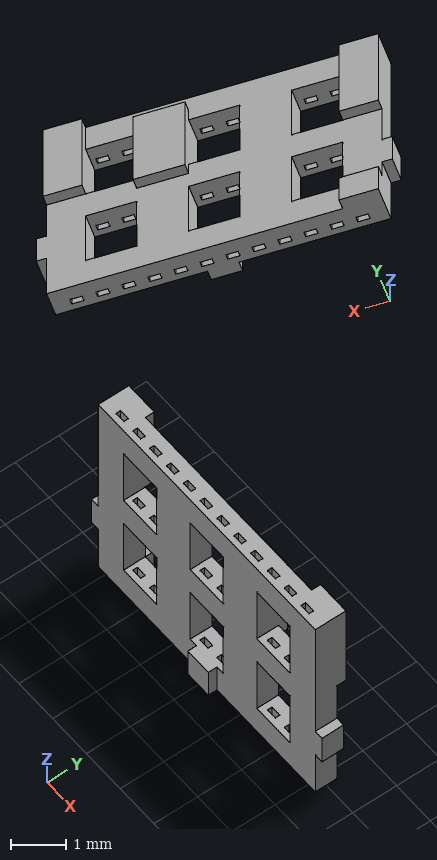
import cadquery as cq

overall_width = 6.83
side_tab_reach = 0.2
body_width = overall_width - 2 * side_tab_reach
body_height = 4.9
plate_thickness = 0.5

window_columns = 3
window_rows = 2
window_width = 0.98
column_gap = 1.0
rail_height = 0.7
window_height = (body_height - (window_rows + 1) * rail_height) / window_rows
column_pitch = window_width + column_gap
row_pitch = window_height + rail_height
outer_window_edge = column_pitch + window_width / 2

slot_count = 12
slot_pitch = 0.5
slot_width = 0.23
slot_depth = 0.1
slot_center_y = 0.185

pad_reach = 0.205
corner_pad_width = body_width / 2 - outer_window_edge
upper_pad_height = rail_height + window_height
label_pad_width = column_gap
label_pad_overhang = 0.29
label_pad_height = window_height + 2 * label_pad_overhang

side_tab_bottom = 1.12
side_tab_height = 0.71
front_tab_width = 0.61
front_tab_reach = 0.2


def block(width, depth, height, center_x, front_y, bottom_z):
    """Box centred in X, with its front face at front_y and its base at bottom_z."""
    return (
        cq.Workplane("XY")
        .box(width, depth, height, centered=(True, False, False))
        .translate((center_x, front_y, bottom_z))
    )


plate = block(body_width, plate_thickness, body_height, 0, 0, 0)
side_tabs = block(overall_width, plate_thickness, side_tab_height, 0, 0, side_tab_bottom)
body = plate.union(side_tabs)

pad_depth = plate_thickness + pad_reach
corner_pad_x = (body_width - corner_pad_width) / 2
upper_pad_bottom = body_height - upper_pad_height
for side in (-1, 1):
    body = body.union(
        block(corner_pad_width, pad_depth, upper_pad_height, side * corner_pad_x, 0, upper_pad_bottom)
    )
body = body.union(block(corner_pad_width, pad_depth, rail_height, -corner_pad_x, 0, 0))

upper_row_bottom = rail_height + row_pitch
label_pad_bottom = upper_row_bottom - label_pad_overhang
body = body.union(
    block(label_pad_width, pad_depth, label_pad_height, column_pitch / 2, 0, label_pad_bottom)
)

body = body.union(block(front_tab_width, front_tab_reach, rail_height, 0, -front_tab_reach, 0))

for column in range(window_columns):
    window_x = (column - (window_columns - 1) / 2) * column_pitch
    for row in range(window_rows):
        window_bottom = rail_height + row * row_pitch
        body = body.cut(block(window_width, pad_depth, window_height, window_x, 0, window_bottom))

slot_front = slot_center_y - slot_depth / 2
for index in range(slot_count):
    slot_x = (index - (slot_count - 1) / 2) * slot_pitch
    body = body.cut(block(slot_width, slot_depth, body_height, slot_x, slot_front, 0))

result = body